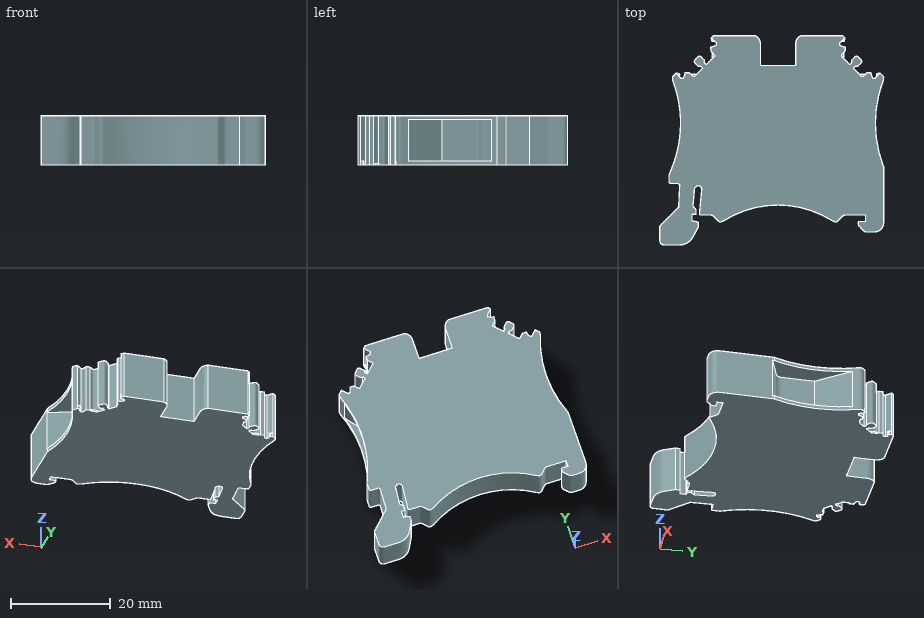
import cadquery as cq
import math


thickness = 9.95
height = 42.05
length = 44.95
right_edge = 21.2
latch_edge = right_edge - length

slot_half_width = 3.5
slot_floor = 36.05
slot_round_start = 40.28
slot_round_middle = (3.8, 41.35)
slot_round_end = 4.65

waist_half_width = 19.55
waist_y = 24.45
flank_radius = 24.2
flank_top = 33.2
left_flank_bottom = 14.1
right_flank_bottom = 15.75

seat_y = 6.0
arch_crown = 8.0
arch_half_width = 10.9
arch_radius = 20.35
arch_tip = (11.7, 4.5)
arch_tip_radius = 0.55
seat_radius = 0.67

ledge_y = 12.3
ledge_inner_x = -19.75
ledge_radius = 0.35
latch_neck = (-19.95, 7.6)
latch_shoulder_y = 3.8
latch_heel_radius = 0.9
latch_shoulder_radius = 0.45
latch_sole_end = (-19.75, 0)
latch_sole_round = (-18.02, 0.55)
latch_toe_start = (-17.0, 1.7)
latch_toe_bottom = (-15.95, 3.65)
latch_toe_top = (-15.95, 4.65)
latch_toe_radius = 0.22
latch_mouth_x = -17.2
latch_mouth_bottom = 4.85
latch_mouth_top = 6.15
latch_catch_x = -16.4
latch_catch_top = 7.05
slit_left_bottom = (-17.05, 7.8)
slit_left_top = (-16.7, 11.33)
slit_end = (-16.05, 11.85)
slit_right_top = (-15.35, 11.25)
slit_right_bottom = (-15.8, seat_y)
slit_radius = 0.35

hook_mouth_x = 17.55
hook_tip_x = 16.1
hook_tip_top = 4.75
hook_tip_bottom = 3.9
hook_sole_start = 17.4
hook_sole_y = 2.6
hook_heel_radius = 1.9
hook_tip_radius = 0.22
hook_bevel_radius = 0.8

pocket_wall = 0.75
pocket_top = 31.85
pocket_bend = 25.2
pocket_corner = 17.55
pocket_bottom = 15.3
pocket_back = 15.4
pocket_corner_radius = 1.3
pocket_mouth = 23.37

bevel_axis = (16.95, 38.05)
bevel_corner_radius = 0.45
groove_corner_radius = 0.22
groove_half_width = 5.0
groove_floor = 3.1
groove_recess_half_width = 3.05
groove_clearance = 0.45
notch_depth = 1.45
notch_bottom = (1.75, 4.8)
notch_return = (1.57, 4.2)
ridge_outer = (1.2, 3.65)
ridge_inner = (1.85, 3.05)
head_half_width = 0.875
head_front = 0.8
head_back = 2.5
head_radius = 0.45
stem_half_width = 0.515
web_top_depth = 2.25
web_height = 0.35
lip_inner = 4.65
lip_start = 0.45
lip_end = 0.7
lip_root = 0.9
lip_height = 0.8


def flank_half_width(y):
    """Distance from X = 0 to a flank at the given Y."""
    sagitta = flank_radius - math.sqrt(flank_radius**2 - (y - waist_y) ** 2)
    return waist_half_width + sagitta


def arch_height(x):
    """Y of the rail arch at the given X."""
    return arch_crown - arch_radius + math.sqrt(arch_radius**2 - x**2)


def mirrored(point):
    """The same point on the other side of X = 0."""
    return (-point[0], point[1])


def round_corners(body, radius, corners):
    """Fillet the upright edges that stand nearest to the given XY corners."""
    for x, y in corners:
        nearest = cq.selectors.NearestToPointSelector((x, y, thickness / 2))
        body = body.edges("|Z").edges(nearest).fillet(radius)
    return body


bevel_sum = sum(bevel_axis)
bevel_top = (bevel_sum - height, height)
bevel_bottom = (right_edge, bevel_sum - right_edge)
flank_start = (flank_half_width(flank_top), flank_top)
waist = (waist_half_width, waist_y)
left_flank_end = (-flank_half_width(left_flank_bottom), left_flank_bottom)
right_flank_end = (flank_half_width(right_flank_bottom), right_flank_bottom)
ledge_outer = (left_flank_end[0], ledge_y)
ledge_inner = (ledge_inner_x, ledge_y)
latch_shoulder = (latch_edge, latch_shoulder_y)
latch_heel = (latch_edge, 0)
arch_end = (arch_half_width, arch_height(arch_half_width))
seat_start = (arch_tip[0] + seat_y - arch_tip[1], seat_y)
hook_tip = (hook_tip_x, hook_tip_top)
hook_bevel_start = (hook_tip_x, hook_tip_bottom)
hook_bevel_end = (hook_sole_start, hook_sole_y)
hook_heel = (right_edge, hook_sole_y)


def make_housing():
    """Full-thickness housing with its latch foot, rail seat and hook."""
    body = (
        cq.Workplane("XY")
        .moveTo(-slot_half_width, slot_floor)
        .lineTo(-slot_half_width, slot_round_start)
        .threePointArc(mirrored(slot_round_middle), (-slot_round_end, height))
        .lineTo(*mirrored(bevel_top))
        .lineTo(*mirrored(bevel_bottom))
        .lineTo(*mirrored(flank_start))
        .threePointArc(mirrored(waist), left_flank_end)
        .lineTo(*ledge_outer)
        .lineTo(*ledge_inner)
        .lineTo(*latch_neck)
        .lineTo(*latch_shoulder)
        .lineTo(*latch_heel)
        .lineTo(*latch_sole_end)
        .threePointArc(latch_sole_round, latch_toe_start)
        .lineTo(*latch_toe_bottom)
        .lineTo(*latch_toe_top)
        .lineTo(latch_mouth_x, latch_mouth_bottom)
        .lineTo(latch_mouth_x, latch_mouth_top)
        .lineTo(latch_catch_x, latch_mouth_top)
        .lineTo(latch_catch_x, latch_catch_top)
        .lineTo(*slit_left_bottom)
        .lineTo(*slit_left_top)
        .threePointArc(slit_end, slit_right_top)
        .lineTo(*slit_right_bottom)
        .lineTo(*mirrored(seat_start))
        .lineTo(*mirrored(arch_tip))
        .lineTo(*mirrored(arch_end))
        .threePointArc((0, arch_crown), arch_end)
        .lineTo(*arch_tip)
        .lineTo(*seat_start)
        .lineTo(hook_mouth_x, seat_y)
        .lineTo(hook_mouth_x, hook_tip_top)
        .lineTo(*hook_tip)
        .lineTo(*hook_bevel_start)
        .lineTo(*hook_bevel_end)
        .lineTo(*hook_heel)
        .lineTo(right_edge, right_flank_bottom)
        .lineTo(*right_flank_end)
        .threePointArc(waist, flank_start)
        .lineTo(*bevel_bottom)
        .lineTo(*bevel_top)
        .lineTo(slot_round_end, height)
        .threePointArc(slot_round_middle, (slot_half_width, slot_round_start))
        .lineTo(slot_half_width, slot_floor)
        .close()
        .extrude(thickness)
    )
    body = round_corners(body, ledge_radius, [ledge_outer, ledge_inner])
    body = round_corners(body, latch_heel_radius, [latch_heel])
    body = round_corners(body, latch_shoulder_radius, [latch_shoulder])
    body = round_corners(body, latch_toe_radius, [latch_toe_top])
    body = round_corners(body, slit_radius, [slit_right_bottom])
    body = round_corners(body, arch_tip_radius, [arch_tip, mirrored(arch_tip)])
    body = round_corners(body, hook_heel_radius, [hook_heel])
    body = round_corners(body, hook_tip_radius, [hook_tip])
    body = round_corners(body, hook_bevel_radius, [hook_bevel_start, hook_bevel_end])
    body = round_corners(body, seat_radius, [seat_start, mirrored(seat_start)])
    body = round_corners(body, bevel_corner_radius, [bevel_bottom, mirrored(bevel_bottom)])
    return body


def make_left_pocket():
    """Wire pocket open to the left flank, closed by a wall at both faces."""
    mouth_top = -flank_half_width(pocket_top)
    mouth_bottom = -flank_half_width(pocket_bottom)
    pocket = (
        cq.Workplane("XY", origin=(0, 0, pocket_wall))
        .moveTo(-pocket_mouth, pocket_top)
        .lineTo(mouth_top, pocket_top)
        .lineTo(-pocket_back, pocket_bend)
        .lineTo(-pocket_back, pocket_corner)
        .lineTo(mouth_bottom, pocket_bottom)
        .lineTo(-pocket_mouth, pocket_bottom)
        .close()
        .extrude(thickness - 2 * pocket_wall)
    )
    return round_corners(pocket, pocket_corner_radius, [(-pocket_back, pocket_corner)])


def extrude_in_groove(points, depth):
    """Extrude a polygon given in the left groove's depth and across coordinates."""
    plane = cq.Plane(origin=(*mirrored(bevel_axis), 0), xDir=(1, -1, 0), normal=(0, 0, 1))
    return cq.Workplane(plane).polyline(points).close().extrude(depth)


def groove_to_part(depth, across):
    """XY position of a point given in the left groove's coordinates."""
    return (
        -bevel_axis[0] + (depth + across) / math.sqrt(2),
        bevel_axis[1] + (across - depth) / math.sqrt(2),
    )


def both_halves(half):
    """Complete a groove outline that is symmetric about the groove axis."""
    return half + [(depth, -across) for depth, across in reversed(half)]


def make_left_groove():
    """Groove with a notch under each shoulder and a ridge beside the notch."""
    half = [
        (-groove_clearance, groove_half_width),
        (notch_depth, groove_half_width),
        notch_bottom,
        notch_return,
        ridge_outer,
        ridge_inner,
        (groove_floor, groove_recess_half_width),
    ]
    groove = extrude_in_groove(both_halves(half), thickness)
    rounded = both_halves([notch_bottom, (groove_floor, groove_recess_half_width)])
    return round_corners(groove, groove_corner_radius, [groove_to_part(*point) for point in rounded])


def make_left_marker_holder():
    """T-shaped holder on the groove floor, with the webs and lips at the lower face."""
    head = extrude_in_groove(
        both_halves([(head_front, head_half_width), (head_back, head_half_width)]), thickness
    )
    head = head.edges("|Z").fillet(head_radius)
    stem_start = (head_front + head_back) / 2
    stem_end = groove_floor + groove_clearance
    stem = extrude_in_groove(
        both_halves([(stem_start, stem_half_width), (stem_end, stem_half_width)]), thickness
    )
    holder = head.union(stem)
    web_run = groove_floor - web_top_depth
    for side in (1, -1):
        web = [
            (web_top_depth, side * groove_recess_half_width),
            (groove_floor, side * groove_recess_half_width),
            (groove_floor, side * (groove_recess_half_width - web_run)),
        ]
        lip = [
            (0, side * groove_half_width),
            (lip_start, side * lip_inner),
            (lip_end, side * lip_inner),
            (lip_root, side * groove_half_width),
        ]
        holder = holder.union(extrude_in_groove(web, web_height))
        holder = holder.union(extrude_in_groove(lip, lip_height))
    return holder


def add_on_both_sides(left):
    """Join a left-hand body with its mirror image."""
    return left.union(left.mirror("YZ"))


result = (
    make_housing()
    .cut(add_on_both_sides(make_left_pocket()))
    .cut(add_on_both_sides(make_left_groove()))
    .union(add_on_both_sides(make_left_marker_holder()))
)